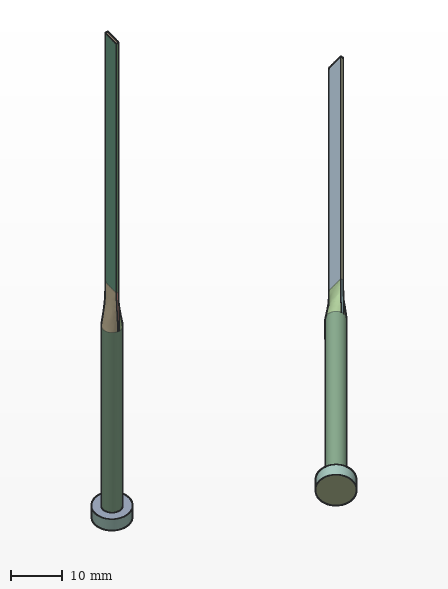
import cadquery as cq

total_length = 125.0
head_diameter = 8.0
head_height = 3.0
shaft_diameter = 4.2
shaft_top = 50.0
blade_bottom = 60.0
blade_width = 3.9
blade_thickness = 0.6


def cylinder(diameter, bottom, top):
    """Upright round section between two heights."""
    return cq.Workplane("XY").workplane(offset=bottom).circle(diameter / 2).extrude(top - bottom)


def transition():
    """Loft from the round shaft to the rectangular blade."""
    return (
        cq.Workplane("XY")
        .workplane(offset=shaft_top)
        .circle(shaft_diameter / 2)
        .workplane(offset=blade_bottom - shaft_top)
        .rect(blade_width, blade_thickness)
        .loft(ruled=True)
    )


def blade():
    """Thin flat blade, wide along X."""
    return (
        cq.Workplane("XY")
        .workplane(offset=blade_bottom)
        .rect(blade_width, blade_thickness)
        .extrude(total_length - blade_bottom)
    )


head = cylinder(head_diameter, 0, head_height)
shaft = cylinder(shaft_diameter, head_height, shaft_top)
result = head.union(shaft).union(transition()).union(blade())